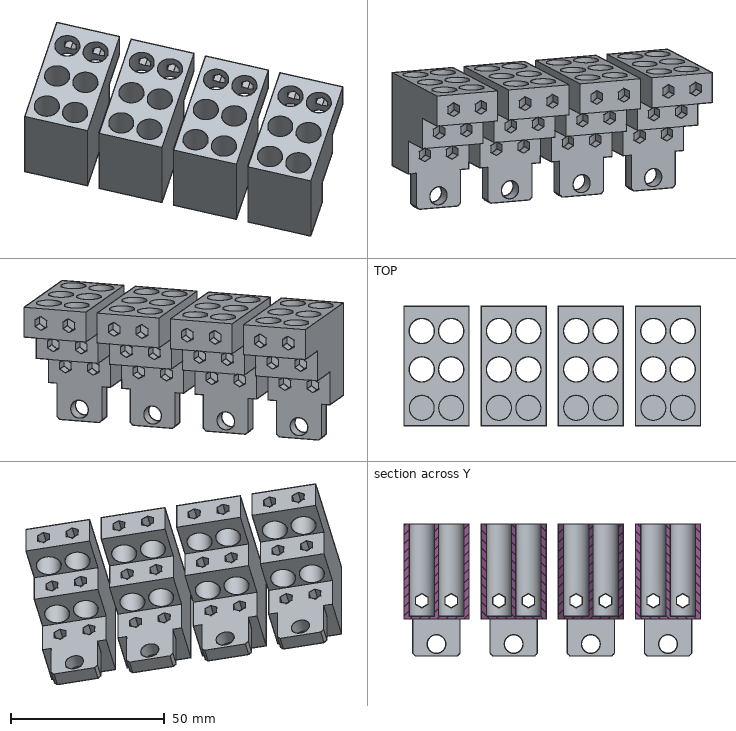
import cadquery as cq
import math

overall_length = 96.5
block_count = 4
block_pitch = 25.1
block_width = overall_length - (block_count - 1) * block_pitch

total_height = 43.0
block_depth = 39.0
step_count = 3
front_depth = 14.0
step_depth = (block_depth - front_depth) / (step_count - 1)
body_height = 31.0
floor_thickness = 1.0
step_height = (body_height - floor_thickness) / step_count

wire_hole_diameter = 8.1
wire_hole_spacing = 9.6
wire_hole_back_offset = 8.1

hex_across_flats = 4.0
hex_across_corners = hex_across_flats / math.cos(math.radians(30))

tab_width = 15.4
tab_thickness = 5.0
tab_chamfer = 1.0
tab_hole_diameter = 6.0
tab_hole_height = 4.0


def block_body():
    """Staircase body standing above the tab, centred on X = 0."""
    underside_z = total_height - body_height
    middle_z = total_height - 2 * step_height
    upper_z = total_height - step_height
    return (
        cq.Workplane("YZ")
        .moveTo(0, underside_z)
        .lineTo(front_depth, underside_z)
        .lineTo(front_depth, middle_z)
        .lineTo(front_depth + step_depth, middle_z)
        .lineTo(front_depth + step_depth, upper_z)
        .lineTo(block_depth, upper_z)
        .lineTo(block_depth, total_height)
        .lineTo(0, total_height)
        .close()
        .extrude(block_width / 2, both=True)
    )


def mounting_tab():
    """Tab flush with the back of the lowest step, with chamfered lower corners and a cross hole."""
    tab_height = total_height - body_height
    tab = (
        cq.Workplane("XY")
        .box(tab_width, tab_thickness, tab_height, centered=(True, False, False))
        .edges("|Y and <Z")
        .chamfer(tab_chamfer)
    )
    hole = (
        cq.Workplane("XZ")
        .center(0, tab_hole_height)
        .circle(tab_hole_diameter / 2)
        .extrude(-tab_thickness)
    )
    return tab.cut(hole).translate((0, front_depth - tab_thickness, 0))


def step_holes(step):
    """Pair of wire holes and their hexagonal side holes for one step, counted from the back."""
    step_back_y = block_depth - step * step_depth
    wire_y = step_back_y - wire_hole_back_offset
    wire_depth = (step + 1) * step_height
    hex_z = total_height - (step + 0.5) * step_height
    pair_x = (-wire_hole_spacing / 2, wire_hole_spacing / 2)
    wire_holes = (
        cq.Workplane("XY", origin=(0, wire_y, total_height))
        .pushPoints([(x, 0) for x in pair_x])
        .circle(wire_hole_diameter / 2)
        .extrude(-wire_depth)
    )
    back_plane = cq.Plane(origin=(0, step_back_y, hex_z), xDir=(0, 0, 1), normal=(0, -1, 0))
    hex_holes = (
        cq.Workplane(back_plane)
        .pushPoints([(0, x) for x in pair_x])
        .polygon(6, hex_across_corners)
        .extrude(wire_hole_back_offset)
    )
    return wire_holes.union(hex_holes)


def connector_block():
    """One complete connector block, centred on X = 0."""
    block = block_body().union(mounting_tab())
    for step in range(step_count):
        block = block.cut(step_holes(step))
    return block


connector_blocks = []
for index in range(block_count):
    center_x = block_width / 2 + index * block_pitch
    connector_blocks.append(connector_block().translate((center_x, 0, 0)).val())

result = cq.Compound.makeCompound(connector_blocks)